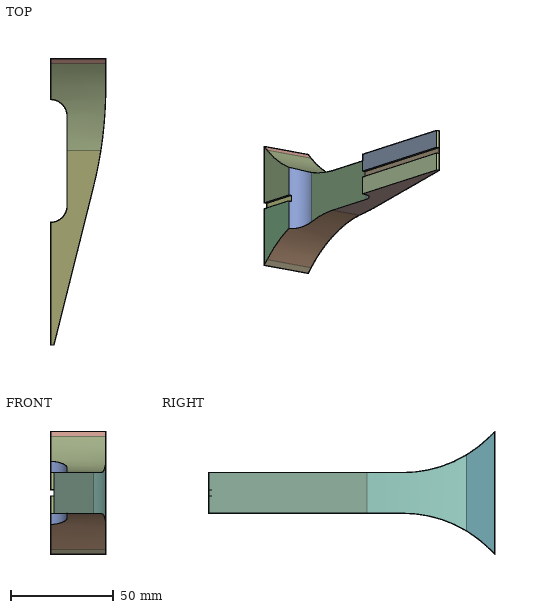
import cadquery as cq
import math

length = 140.0
width = 27.0
flare_height = 60.0
neck_height = 20.0

tip_width = 1.7
taper_slope = 0.25
taper_blend_radius = 200.0

flare_radius = 60.0
flare_angle = math.radians(45)

recess_depth = 8.0
recess_start = 60.0
recess_end = 120.0

groove_width = 3.0
groove_depth = 1.5


def plan_body():
    """Wedge in plan, with the taper blended into the straight outer side."""
    taper_angle = math.atan(taper_slope)
    corner_y = (width - tip_width) / taper_slope
    tangent_length = taper_blend_radius * math.tan(taper_angle / 2)
    blend_start = (
        width - tangent_length * math.sin(taper_angle),
        corner_y - tangent_length * math.cos(taper_angle),
    )
    blend_end = (width, corner_y + tangent_length)
    blend_middle = (
        width - taper_blend_radius * (1 - math.cos(taper_angle / 2)),
        blend_end[1] - taper_blend_radius * math.sin(taper_angle / 2),
    )
    return (
        cq.Workplane("XY")
        .lineTo(tip_width, 0)
        .lineTo(*blend_start)
        .threePointArc(blend_middle, blend_end)
        .lineTo(width, length)
        .lineTo(0, length)
        .close()
        .extrude(flare_height / 2, both=True)
    )


def side_profile():
    """Constant neck that flares symmetrically in Z toward the far end."""
    half_neck = neck_height / 2
    half_flare = flare_height / 2
    arc_run = flare_radius * math.sin(flare_angle)
    arc_rise = flare_radius * (1 - math.cos(flare_angle))
    middle_run = flare_radius * math.sin(flare_angle / 2)
    middle_rise = flare_radius * (1 - math.cos(flare_angle / 2))
    straight_rise = half_flare - half_neck - arc_rise
    arc_end_y = length - straight_rise / math.tan(flare_angle)
    arc_start_y = arc_end_y - arc_run
    middle_y = arc_start_y + middle_run
    arc_end_z = half_neck + arc_rise
    middle_z = half_neck + middle_rise
    return (
        cq.Workplane("YZ")
        .moveTo(0, -half_neck)
        .lineTo(arc_start_y, -half_neck)
        .threePointArc((middle_y, -middle_z), (arc_end_y, -arc_end_z))
        .lineTo(length, -half_flare)
        .lineTo(length, half_flare)
        .lineTo(arc_end_y, arc_end_z)
        .threePointArc((middle_y, middle_z), (arc_start_y, half_neck))
        .lineTo(0, half_neck)
        .close()
        .extrude(width)
    )


def recess():
    """Recess through the full height; its end radius equals its depth."""
    return (
        cq.Workplane("XY")
        .moveTo(0, recess_start)
        .radiusArc((recess_depth, recess_start + recess_depth), -recess_depth)
        .lineTo(recess_depth, recess_end - recess_depth)
        .radiusArc((0, recess_end), -recess_depth)
        .close()
        .extrude(flare_height / 2, both=True)
    )


def groove():
    """Shallow groove at mid-height along the whole flat side."""
    return cq.Workplane("XY").box(
        groove_depth, length, groove_width, centered=(False, False, True)
    )


result = plan_body().intersect(side_profile()).cut(recess()).cut(groove())